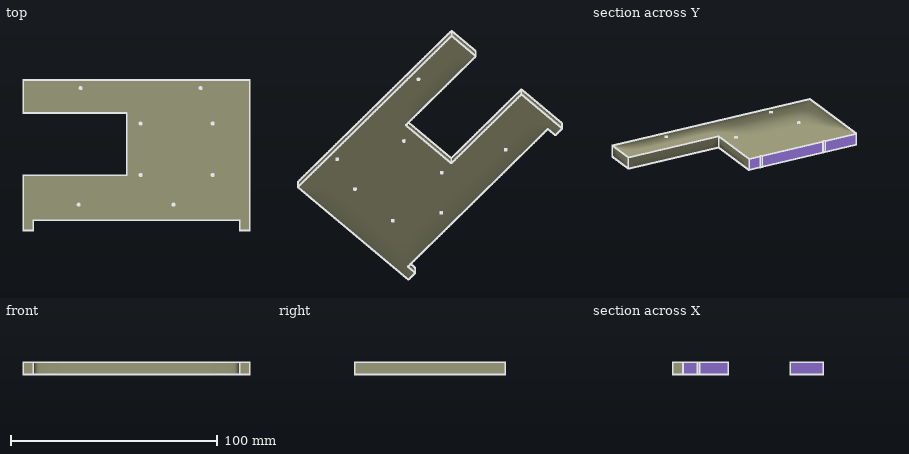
import cadquery as cq

length = 110.0
width = 73.0
thickness = 6.0

tab_size = 5.0

notch_depth = 50.2
notch_width = 30.0
notch_front = 27.0

hole_diameter = 1.0
rear_hole_y = width - 4.0
rear_hole_xs = (27.9, 86.1)
front_hole_y = 12.5
front_hole_xs = (27.0, 72.9)
pattern_left = 57.0
pattern_front = notch_front
pattern_length = 35.0
pattern_width = 25.0


def box_at(x, y, size_x, size_y):
    """Full-thickness block with its lower left corner at (x, y)."""
    return cq.Workplane("XY").box(size_x, size_y, thickness, centered=False).translate((x, y, 0))


plate = box_at(0, 0, length, width)
plate = plate.cut(box_at(tab_size, 0, length - 2 * tab_size, tab_size))
plate = plate.cut(box_at(0, notch_front, notch_depth, notch_width))

hole_points = [(x, rear_hole_y) for x in rear_hole_xs]
hole_points += [(x, front_hole_y) for x in front_hole_xs]
for x in (pattern_left, pattern_left + pattern_length):
    for y in (pattern_front, pattern_front + pattern_width):
        hole_points.append((x, y))

holes = cq.Workplane("XY").pushPoints(hole_points).circle(hole_diameter / 2).extrude(thickness)
result = plate.cut(holes)